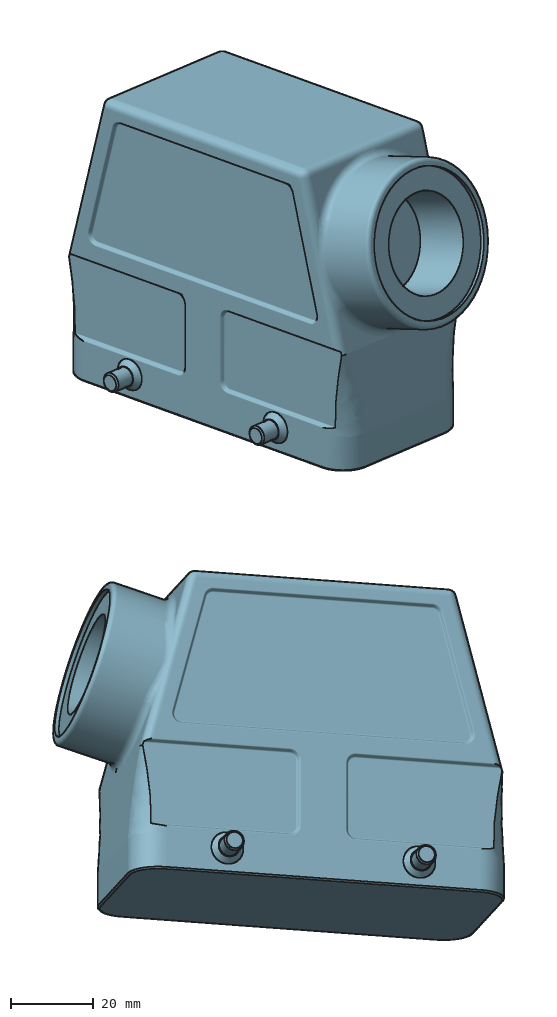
import cadquery as cq
import math

hood_length = 93.5
hood_width = 43.2
hood_height = 75.9
mid_x = hood_length / 2

rim_height = 9.1
rim_corner_radius = 7.5
rim_chamfer = 0.4
shoulder_height = 31.0
shoulder_inset = 1.6
taper_steps = 4

lean_angle = 15
edge_radius = 2.1
lean = math.tan(math.radians(lean_angle))
shoulder_half_length = mid_x - shoulder_inset

panel_depth = 1.0
panel_wall_taper = 30
panel_edge_round = 0.3
lip_plate_margin = 2.1
lip_plate_thickness = 1.1
panel_corner_radius = 2.4
upper_panel_bottom = 36.9
upper_panel_top = 71.4
upper_panel_margin = 5.2
lower_panel_bottom = 10.8
lower_panel_top = 32.3
lower_panel_gap = 11.6
panel_overrun = 5.3

stud_spacing = 47.9
stud_height = 6.3
stud_diameter = 4.9
stud_tip_y = 28.6
stud_tip_chamfer = 0.4
stud_root_diameter = 8.0
stud_root_tip_diameter = 5.2
stud_root_length = 1.6

neck_diameter = 41.7
neck_reach_x = 106.4
neck_reach_z = 76.6
neck_end_radius = 1.1
neck_root_radius = 1.9
neck_embed = 5.3
surface_tolerance = 0.001

ring_diameter = 37.5
ring_bore_diameter = 25.5
ring_recess = 1.1


def half_length_at(height):
    """Half the length of the upper block at a height above the shoulder."""
    return shoulder_half_length - (height - shoulder_height) * lean


lean_sine = math.sin(math.radians(lean_angle))
lean_cosine = math.cos(math.radians(lean_angle))
neck_rim_radius = neck_diameter / 2 - neck_end_radius
neck_end_x = neck_reach_x - neck_rim_radius * lean_sine - neck_end_radius * (1 - lean_cosine)
neck_end_z = neck_reach_z - neck_rim_radius * lean_cosine - neck_end_radius * (1 - lean_sine)

wall_x_at_neck_end = mid_x + half_length_at(neck_end_z)
neck_length = (neck_end_x - wall_x_at_neck_end) * lean_cosine

neck_direction = cq.Vector(1, 0, lean).normalized()
neck_plane = cq.Plane(origin=(neck_end_x, 0, neck_end_z), xDir=(0, 1, 0), normal=neck_direction)


def rim():
    """Straight lower band with round corners."""
    return (
        cq.Workplane("XY")
        .center(mid_x, 0)
        .rect(hood_length, hood_width)
        .extrude(rim_height)
        .edges("|Z")
        .fillet(rim_corner_radius)
        .faces("<Z")
        .edges()
        .chamfer(rim_chamfer)
    )


def tapered_skirt():
    """Band whose ends lean in while its corner radius shrinks along a parabola."""
    sections = []
    for step in range(taper_steps + 1):
        rise = step / taper_steps
        height = rim_height + rise * (shoulder_height - rim_height)
        length = hood_length - 2 * shoulder_inset * rise
        radius = rim_corner_radius - (rim_corner_radius - edge_radius) * rise**2
        section = cq.Sketch().rect(length, hood_width).vertices().fillet(radius)
        sections.append(section.moved(cq.Location(cq.Vector(mid_x, 0, height))))
    return cq.Workplane("XY").placeSketch(*sections).loft()


def upper_block():
    """Trapezoidal block above the shoulder, with rounded top and end edges."""
    top_half_length = half_length_at(hood_height)
    return (
        cq.Workplane("XZ", origin=(mid_x, 0, 0))
        .moveTo(-shoulder_half_length, shoulder_height)
        .lineTo(shoulder_half_length, shoulder_height)
        .lineTo(top_half_length, hood_height)
        .lineTo(-top_half_length, hood_height)
        .close()
        .extrude(hood_width / 2, both=True)
        .edges("not <Z")
        .fillet(edge_radius)
    )


def neck():
    """Cylinder running from its rounded end face into the upper block."""
    return (
        cq.Workplane(neck_plane)
        .circle(neck_diameter / 2)
        .extrude(-(neck_length + neck_embed))
        .faces(cq.selectors.DirectionMinMaxSelector(neck_direction))
        .edges()
        .fillet(neck_end_radius)
    )


def lies_on_neck_root(edge):
    """True for an edge on the neck's surface that is nearer the wall than the end face."""
    to_edge = edge.positionAt(0) - neck_plane.origin
    depth = -to_edge.dot(neck_direction)
    axis_distance = (to_edge + neck_direction * depth).Length
    on_surface = abs(axis_distance - neck_diameter / 2) < surface_tolerance
    return on_surface and depth > neck_length / 2 and edge.geomType() != "LINE"


def upper_block_with_neck():
    """Upper block joined to the neck, with a fillet around the neck's root."""
    joined = upper_block().union(neck())
    return joined.edges().filter(lies_on_neck_root).fillet(neck_root_radius)


def front_panel_cutter(corners):
    """Cutter for one sunken panel on the front side: sloping walls, rounded floor edge and lip.

    A plate lying on the outside of the wall lets the lip be rounded on the cutter itself.
    """
    wall = cq.Workplane("XZ", origin=(mid_x, -hood_width / 2, 0))
    outline = cq.Sketch().polygon(corners + corners[:1]).vertices().fillet(panel_corner_radius)
    recess = (
        wall.placeSketch(outline)
        .extrude(-panel_depth, taper=panel_wall_taper)
        .faces(">Y")
        .edges()
        .fillet(panel_edge_round)
    )
    plate = (
        wall.polyline(corners)
        .close()
        .offset2D(lip_plate_margin, "intersection")
        .extrude(lip_plate_thickness)
    )
    cutter = recess.union(plate).val()
    pierced_faces = [face for face in cutter.Faces() if face.innerWires()]
    lip_edges = pierced_faces[0].innerWires()[0].Edges()
    return cq.Workplane(cutter.fillet(panel_edge_round, lip_edges))


def panel_cutters():
    """The large upper panel and the two lower panels that run out at the ends."""
    bottom_half = half_length_at(upper_panel_bottom) - upper_panel_margin
    top_half = half_length_at(upper_panel_top) - upper_panel_margin
    cutters = [
        front_panel_cutter([
            (-bottom_half, upper_panel_bottom),
            (bottom_half, upper_panel_bottom),
            (top_half, upper_panel_top),
            (-top_half, upper_panel_top),
        ])
    ]
    inner = lower_panel_gap / 2
    outer = mid_x + panel_overrun
    for near, far in ((-outer, -inner), (inner, outer)):
        cutters.append(
            front_panel_cutter([
                (near, lower_panel_bottom),
                (far, lower_panel_bottom),
                (far, lower_panel_top),
                (near, lower_panel_top),
            ])
        )
    return cutters


def front_stud(x):
    """Stud with a conical root, standing out of the front side."""
    wall_y = hood_width / 2
    pin = (
        cq.Workplane("XZ", origin=(x, 0, stud_height))
        .circle(stud_diameter / 2)
        .extrude(stud_tip_y)
        .faces("<Y")
        .chamfer(stud_tip_chamfer)
    )
    root = cq.Workplane(
        cq.Solid.makeCone(
            stud_root_diameter / 2,
            stud_root_tip_diameter / 2,
            stud_root_length,
            pnt=cq.Vector(x, -wall_y, stud_height),
            dir=cq.Vector(0, -1, 0),
        )
    )
    return pin.union(root)


def make_hood():
    """Hood with its neck, panels and studs."""
    body = rim().union(tapered_skirt()).union(upper_block_with_neck())
    for cutter in panel_cutters():
        body = body.cut(cutter).cut(cutter.mirror("XZ"))
    for side in (-1, 1):
        stud = front_stud(mid_x + side * stud_spacing / 2)
        body = body.union(stud).union(stud.mirror("XZ"))
    seat = cq.Workplane(neck_plane).circle(ring_diameter / 2).extrude(-neck_length)
    return body.cut(seat)


def make_ring():
    """Ring that fills the neck's seat, set back from the end face."""
    return (
        cq.Workplane(neck_plane)
        .workplane(offset=-ring_recess)
        .circle(ring_diameter / 2)
        .circle(ring_bore_diameter / 2)
        .extrude(ring_recess - neck_length)
    )


hood = make_hood()
ring = make_ring()
result = cq.Compound.makeCompound([hood.val(), ring.val()])